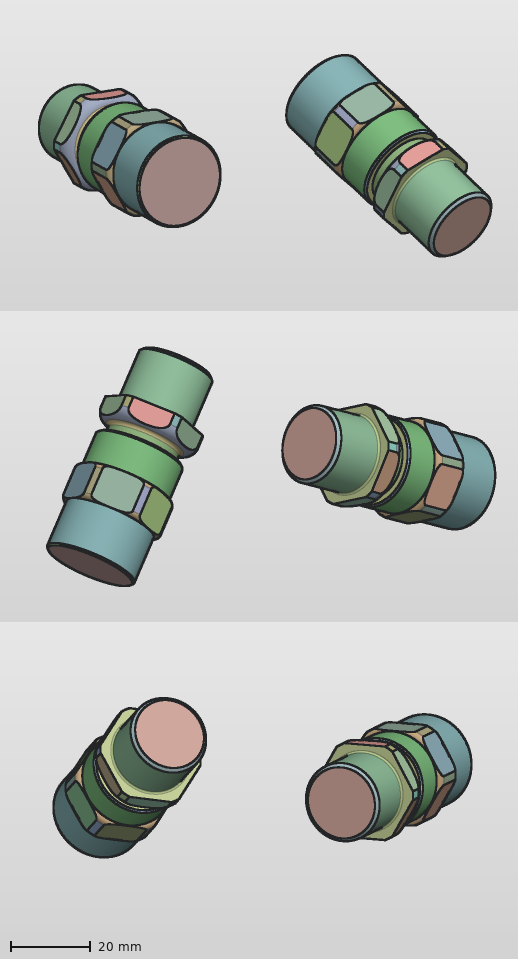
import cadquery as cq
import math

LENGTH = 56.7

HEX_ACROSS_FLATS = 24.0
HEX_CORNER_DIA = 26.5

SPIGOT_DIA = 20.0
SPIGOT_CHAMFER = 0.9
SPIGOT_ROOT_FILLET = 0.5
ENTRY_HEX_START = 14.95
ENTRY_HEX_STRAIGHT = 3.0
ENTRY_HEX_ROUND = 3.0
NECK_DIA = 19.15
NECK_FILLET = 1.0

NUT_START = 24.2
FRONT_SLEEVE_DIA = 23.65
BACK_SLEEVE_DIA = 23.8
FRONT_CHAMFER = 0.5
BACK_CHAMFER = 0.45
NUT_HEX_START = 33.7
NUT_HEX_LENGTH = 10.0


def revolve_about_x(profile):
    """Turn a closed profile, drawn as (X, radius), into a solid about the X axis."""
    return profile.close().revolve(360, (0, 0, 0), (1, 0, 0))


def hex_bar(start, length):
    """Hexagonal bar along X with corners pointing along +Y and -Y."""
    corner_to_corner = HEX_ACROSS_FLATS / math.cos(math.pi / 6)
    return (
        cq.Workplane("YZ")
        .workplane(offset=start)
        .polygon(6, corner_to_corner)
        .extrude(length)
    )


def make_entry_body():
    """Chamfered spigot, hexagon rounded at the back, and the neck butting against the back nut."""
    spigot_radius = SPIGOT_DIA / 2
    root_radius = spigot_radius + SPIGOT_ROOT_FILLET
    spigot = revolve_about_x(
        cq.Workplane("XY")
        .lineTo(0, spigot_radius - SPIGOT_CHAMFER)
        .lineTo(SPIGOT_CHAMFER, spigot_radius)
        .lineTo(ENTRY_HEX_START - SPIGOT_ROOT_FILLET, spigot_radius)
        .radiusArc((ENTRY_HEX_START, root_radius), -SPIGOT_ROOT_FILLET)
        .lineTo(ENTRY_HEX_START, 0)
    )

    corner_radius = HEX_CORNER_DIA / 2
    neck_radius = NECK_DIA / 2
    round_centre_x = ENTRY_HEX_START + ENTRY_HEX_STRAIGHT
    round_centre_radius = corner_radius - ENTRY_HEX_ROUND
    radii_sum = ENTRY_HEX_ROUND + NECK_FILLET
    rise = neck_radius + NECK_FILLET - round_centre_radius
    run = math.sqrt(radii_sum**2 - rise**2)
    share = ENTRY_HEX_ROUND / radii_sum
    tangent_point = (round_centre_x + share * run, round_centre_radius + share * rise)
    envelope = revolve_about_x(
        cq.Workplane("XY")
        .moveTo(ENTRY_HEX_START, 0)
        .lineTo(ENTRY_HEX_START, corner_radius)
        .lineTo(round_centre_x, corner_radius)
        .radiusArc(tangent_point, ENTRY_HEX_ROUND)
        .radiusArc((round_centre_x + run, neck_radius), -NECK_FILLET)
        .lineTo(NUT_START, neck_radius)
        .lineTo(NUT_START, 0)
    )
    hexagon_and_neck = envelope.intersect(hex_bar(ENTRY_HEX_START, NUT_START - ENTRY_HEX_START))
    return spigot.union(hexagon_and_neck)


def make_back_nut():
    """Sleeve chamfered at both ends, with a hexagon rounded at both ends around its middle."""
    corner_radius = HEX_CORNER_DIA / 2
    front_radius = FRONT_SLEEVE_DIA / 2
    back_radius = BACK_SLEEVE_DIA / 2
    front_round = corner_radius - front_radius
    back_round = corner_radius - back_radius
    hex_end = NUT_HEX_START + NUT_HEX_LENGTH
    envelope = revolve_about_x(
        cq.Workplane("XY")
        .moveTo(NUT_START, 0)
        .lineTo(NUT_START, front_radius - FRONT_CHAMFER)
        .lineTo(NUT_START + FRONT_CHAMFER, front_radius)
        .lineTo(NUT_HEX_START, front_radius)
        .radiusArc((NUT_HEX_START + front_round, corner_radius), front_round)
        .lineTo(hex_end - back_round, corner_radius)
        .radiusArc((hex_end, back_radius), back_round)
        .lineTo(LENGTH - BACK_CHAMFER, back_radius)
        .lineTo(LENGTH, back_radius - BACK_CHAMFER)
        .lineTo(LENGTH, 0)
    )
    return envelope.intersect(hex_bar(NUT_START, LENGTH - NUT_START))


entry_body = make_entry_body()
back_nut = make_back_nut()

result = cq.Compound.makeCompound([entry_body.val(), back_nut.val()])